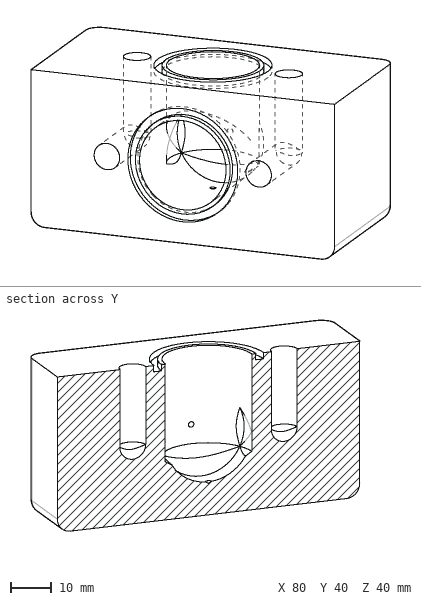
import cadquery as cq
import math

length = 80.0
side = 40.0
edge_radius = 3.6

drill_point_angle = 118.0
bore_diameter = 22.8
bore_depth = 25.0
side_hole_diameter = 6.7
side_hole_depth = side / 2
side_hole_offset = 20.0

groove_inner_diameter = 25.0
groove_outer_diameter = 29.0
groove_depth = 1.6

front_face = cq.Plane(origin=(0, -side / 2, 0), xDir=(1, 0, 0), normal=(0, -1, 0))
top_face = cq.Plane(origin=(0, 0, side / 2), xDir=(1, 0, 0), normal=(0, 0, 1))


def rounded_block():
    """Block with its bottom, back and end edges rounded around the back bottom corners."""
    block = cq.Workplane("XY").box(length, side, side)
    back_uprights = block.edges("|Z and >Y")
    bottom_ends = block.edges("|Y and <Z")
    back_bottom = block.edges("|X and >Y and <Z")
    return back_uprights.add(bottom_ends).add(back_bottom).fillet(edge_radius)


def drilled_hole(face, x, diameter, depth):
    """Cylinder of the given depth below a face, ending in a conical drill point."""
    radius = diameter / 2
    point_length = radius / math.tan(math.radians(drill_point_angle / 2))
    profile = (
        cq.Workplane("XZ")
        .polyline([(0, 0), (radius, 0), (radius, -depth), (0, -depth - point_length)])
        .close()
    )
    hole = profile.revolve(360, (0, 0, 0), (0, 1, 0)).translate((x, 0, 0))
    return cq.Workplane(hole.val().moved(cq.Location(face)))


def seal_groove(face):
    """Ring of material to remove around the main bore."""
    rings = cq.Workplane(face).circle(groove_outer_diameter / 2).circle(groove_inner_diameter / 2)
    return rings.extrude(-groove_depth)


result = rounded_block()
for face in (front_face, top_face):
    result = result.cut(drilled_hole(face, 0, bore_diameter, bore_depth))
    result = result.cut(seal_groove(face))
    for x in (-side_hole_offset, side_hole_offset):
        result = result.cut(drilled_hole(face, x, side_hole_diameter, side_hole_depth))